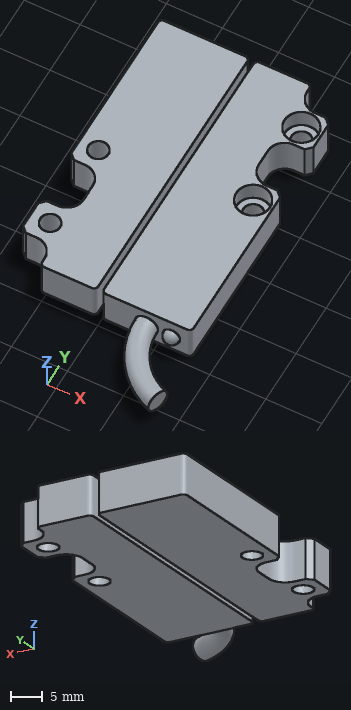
import cadquery as cq

block_width = 16.0
block_length = 50.95
block_height = 7.0
block_gap = 1.05
corner_radius = 0.8

hole_diameter = 3.5
hole_side_offset = 3.5
hole_end_offset = 8.0
hole_pitch = 16.0
tab_half_width = 3.5
notch_depth = 6.0
notch_radius = 3.0
tab_chamfer = 1.05
counterbore_diameter = 6.0
counterbore_depth = 3.5

cable_diameter = 4.0
cable_bend_radius = 12.95
cable_bend_angle = 70
lamp_radius = 1.5

outer_x = block_gap / 2 + block_width
hole_x = outer_x - hole_side_offset
cable_x = block_gap / 2 + block_width / 2
mid_height = block_height / 2
hole_ys = [hole_end_offset + i * hole_pitch for i in range(2)]


def cut_notch(block, y_start, y_end):
    """Cut a square-cornered notch into the outer side at -X."""
    notch_floor_x = -outer_x + notch_depth
    notch = (
        cq.Workplane("XY")
        .moveTo(-outer_x, y_start)
        .lineTo(notch_floor_x, y_start)
        .lineTo(notch_floor_x, y_end)
        .lineTo(-outer_x, y_end)
        .close()
        .extrude(block_height)
    )
    return block.cut(notch)


def vertical_edges_at(block, points):
    """Select the full-height edges that pass through the given XY points."""
    edges = []
    for x, y in points:
        edges += block.edges(cq.selectors.NearestToPointSelector((x, y, mid_height))).vals()
    return block.newObject(edges)


def make_block():
    """Left-hand block with its holes, end step and side notch."""
    first_y, second_y = hole_ys
    step_y = first_y - tab_half_width
    notch_start_y = first_y + tab_half_width
    notch_end_y = second_y - tab_half_width
    inner_x = -block_gap / 2
    notch_floor_x = -outer_x + notch_depth
    tab_edge_ys = [step_y, notch_start_y, notch_end_y]

    block = cq.Workplane("XY").box(block_width, block_length, block_height, centered=False)
    block = block.translate((-outer_x, 0, 0))
    block = cut_notch(block, 0, step_y)
    block = cut_notch(block, notch_start_y, notch_end_y)

    inner_corners = [(notch_floor_x, y) for y in tab_edge_ys]
    block = vertical_edges_at(block, inner_corners).fillet(notch_radius)
    tab_corners = [(-outer_x, y) for y in tab_edge_ys]
    block = vertical_edges_at(block, tab_corners).chamfer(tab_chamfer)
    end_corners = [
        (notch_floor_x, 0),
        (inner_x, 0),
        (inner_x, block_length),
        (-outer_x, block_length),
    ]
    block = vertical_edges_at(block, end_corners).fillet(corner_radius)

    holes = (
        cq.Workplane("XY")
        .pushPoints([(-hole_x, y) for y in hole_ys])
        .circle(hole_diameter / 2)
        .extrude(block_height)
    )
    return block.cut(holes)


def make_counterbores():
    """Screw-head recesses in the top of the sensor block."""
    return (
        cq.Workplane("XY")
        .workplane(offset=block_height - counterbore_depth)
        .pushPoints([(hole_x, block_length - y) for y in hole_ys])
        .circle(counterbore_diameter / 2)
        .extrude(counterbore_depth)
    )


def make_cable():
    """Round cable leaving the front end and bending towards +X."""
    return (
        cq.Workplane("XZ")
        .center(cable_x, mid_height)
        .circle(cable_diameter / 2)
        .revolve(cable_bend_angle, (cable_bend_radius, 0), (cable_bend_radius, 1))
    )


def make_sensor():
    """Right-hand block: the same outline turned half round, with cable and lamp."""
    block_centre = (0, block_length / 2, 0)
    turn_axis_end = (0, block_length / 2, 1)
    lamp = cq.Workplane("XY").sphere(lamp_radius).translate((hole_x, 0, mid_height))
    return (
        make_block()
        .rotate(block_centre, turn_axis_end, 180)
        .cut(make_counterbores())
        .union(make_cable())
        .union(lamp)
    )


magnet = make_block()
sensor = make_sensor()

result = cq.Compound.makeCompound([magnet.val(), sensor.solids().val()])